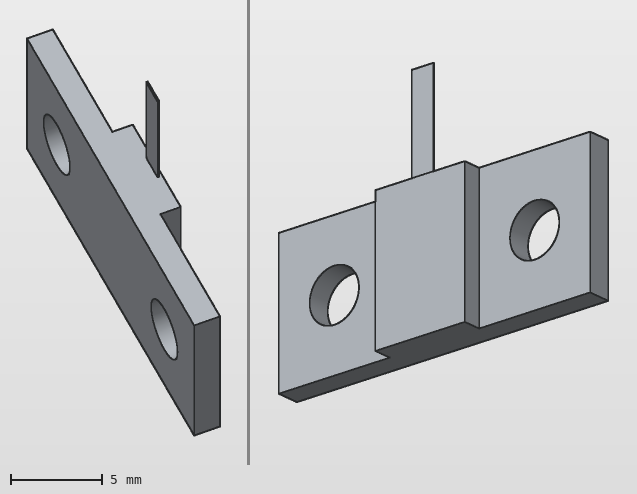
import cadquery as cq

plate_width = 22.1
plate_thickness = 1.55
plate_height = 9.5

hole_diameter = 3.5
hole_spacing = 14.2

block_width = 6.35
total_depth = 2.76
block_depth = total_depth - plate_thickness

total_height = 16.02
lead_width = 1.52
lead_thickness = 0.1
lead_back_inset = 0.2
lead_length = total_height - plate_height
lead_front = total_depth - lead_back_inset - lead_thickness


def upright_box(width, depth, height, front, bottom):
    """Box centred on X, starting at the given front Y and bottom Z."""
    box = cq.Workplane("XY").box(width, depth, height, centered=(True, False, False))
    return box.translate((0, front, bottom))


def mounting_holes():
    """Cylinders through the plate, one on each side of the block."""
    return (
        cq.Workplane("XZ", origin=(0, 0, plate_height / 2))
        .pushPoints([(-hole_spacing / 2, 0), (hole_spacing / 2, 0)])
        .circle(hole_diameter / 2)
        .extrude(-plate_thickness)
    )


plate = upright_box(plate_width, plate_thickness, plate_height, 0, 0).cut(mounting_holes())
block = upright_box(block_width, block_depth, plate_height, plate_thickness, 0)
lead = upright_box(lead_width, lead_thickness, lead_length, lead_front, plate_height)

result = plate.union(block).union(lead)